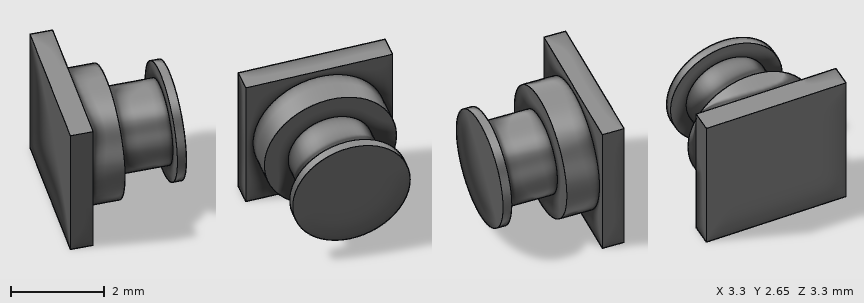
import cadquery as cq

total_depth = 2.65
plate_side = 3.3
plate_thickness = 0.5
collar_diameter = 2.97
collar_length = 0.75
neck_diameter = 1.9
flange_diameter = 2.64
flange_thickness = 0.2
neck_length = total_depth - plate_thickness - collar_length - flange_thickness


def add_disc(body, diameter, length):
    """Stack a centred disc on the rear (+Y) face of the body."""
    return body.faces(">Y").workplane(centerOption="CenterOfMass").circle(diameter / 2).extrude(length)


result = cq.Workplane("XY").box(
    plate_side, plate_thickness, plate_side, centered=(True, False, True)
)

result = add_disc(result, collar_diameter, collar_length)
result = add_disc(result, neck_diameter, neck_length)
result = add_disc(result, flange_diameter, flange_thickness)